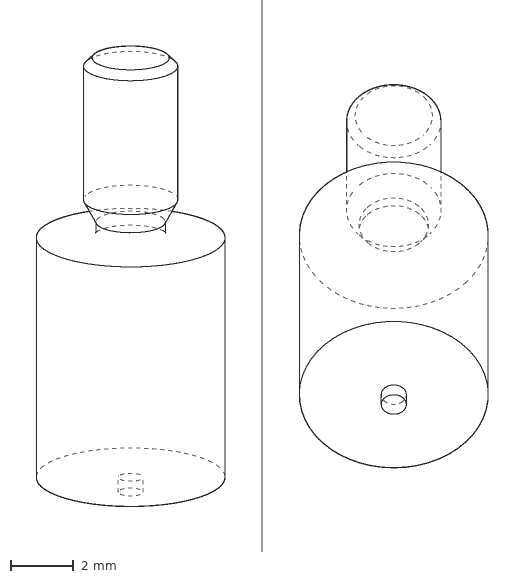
import cadquery as cq

total_height = 14.5
pin_height = 0.5
body_height = 8.0
neck_height = 0.52
taper_height = 0.74

pin_diameter = 0.8
body_diameter = 6.0
neck_diameter = 2.2
stud_diameter = 3.0

tip_chamfer = 0.28
neck_fillet = 0.2

body_top = pin_height + body_height
neck_top = body_top + neck_height
taper_top = neck_top + taper_height

body_radius = body_diameter / 2
neck_radius = neck_diameter / 2
stud_radius = stud_diameter / 2


def cylinder(diameter, bottom, top):
    """Upright cylinder on the Z axis between two levels."""
    return cq.Workplane("XY").workplane(offset=bottom).circle(diameter / 2).extrude(top - bottom)


def stud():
    """Revolved stud: filleted neck, taper, shank and chamfered tip."""
    return (
        cq.Workplane("XZ")
        .moveTo(0, body_top)
        .lineTo(neck_radius + neck_fillet, body_top)
        .radiusArc((neck_radius, body_top + neck_fillet), neck_fillet)
        .lineTo(neck_radius, neck_top)
        .lineTo(stud_radius, taper_top)
        .lineTo(stud_radius, total_height - tip_chamfer)
        .lineTo(stud_radius - tip_chamfer, total_height)
        .lineTo(0, total_height)
        .close()
        .revolve(360, (0, 0, 0), (0, 1, 0))
    )


pin = cylinder(pin_diameter, 0, pin_height)
body = cylinder(body_diameter, pin_height, body_top)

result = body.union(pin).union(stud())